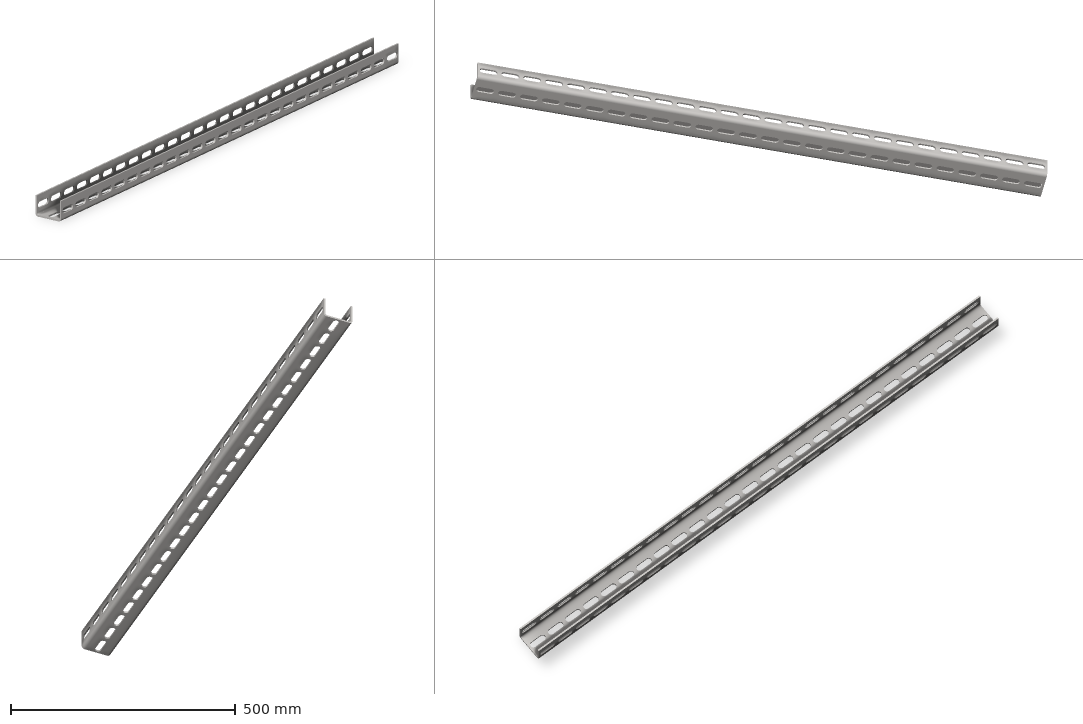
import cadquery as cq

length = 1300.0
width = 70.0
height = 50.0
thickness = 4.0
bend_radius = 8.0

slot_count = 26
slot_length = 40.0
slot_width = 14.0
slot_pitch = length / slot_count
wall_slot_height = height / 2


def make_channel():
    """U-shaped sheet, open at the top, bent along its two bottom edges."""
    outer = cq.Workplane("XY").box(width, length, height, centered=(True, True, False))
    outer = outer.edges("|Y and <Z").fillet(bend_radius)
    inner = (
        cq.Workplane("XY")
        .workplane(offset=thickness)
        .box(width - 2 * thickness, length, height, centered=(True, True, False))
        .edges("|Y and <Z")
        .fillet(bend_radius - thickness)
    )
    return outer.cut(inner)


def slot_row(plane, along_y, depth):
    """Cutters for one row of round-ended slots, extruded to both sides of the plane.

    The row follows the plane's local y axis if along_y is true, else its local x axis.
    """
    first = -(slot_count - 1) / 2 * slot_pitch
    offsets = [first + i * slot_pitch for i in range(slot_count)]
    centres = [(0, offset) if along_y else (offset, 0) for offset in offsets]
    angle = 90 if along_y else 0
    slots = plane.pushPoints(centres).slot2D(slot_length, slot_width, angle)
    return slots.extrude(depth, both=True)


base_slots = slot_row(cq.Workplane("XY"), along_y=True, depth=2 * thickness)

wall_plane = cq.Workplane("YZ", origin=(0, 0, wall_slot_height))
wall_slots = slot_row(wall_plane, along_y=False, depth=width)

result = make_channel().cut(base_slots).cut(wall_slots)